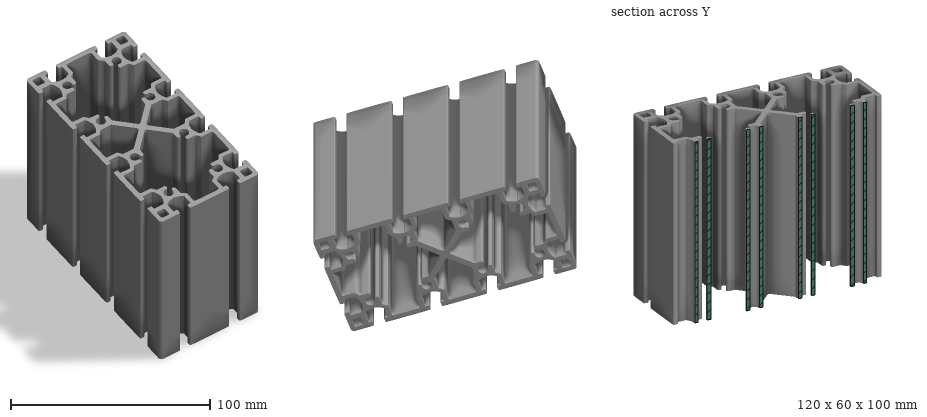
import cadquery as cq
import math

module = 30.0
columns = 4
rows = 2
width = columns * module
depth = rows * module
length = 100.0
corner_radius = 1.8

slot_half_opening = 3.0
lip_depth = 2.8
channel_half_width = 5.2
channel_side_depth = 8.5
channel_depth = 10.5
groove_half_width = 0.5
groove_depth = 0.2
lip_radius = 0.6
lip_recess = 0.07
lip_slope_half_width = 8.2

flange_thickness = 2.8
housing_half_width = 7.5
housing_side_depth = 9.4
housing_depth = 11.3
pocket_radius = 1.0

corner_hole_size = 4.9
corner_hole_inset = 2.3
corner_hole_radius = 0.8

boss_half_width = 4.9
screw_radius = 2.5
tine_reach = 1.5

strut_thickness = 3.0
strut_crossing_radius = 1.2


def prism(points):
    return cq.Workplane("XY").polyline(points).close().extrude(length)


def box(x_min, x_max, y_min, y_max):
    return prism([(x_min, y_min), (x_max, y_min), (x_max, y_max), (x_min, y_max)])


def place_on_face(shape, face_angle, along):
    """Move a shape drawn with the outer face at y = 0 and material below to one side of the profile."""
    face_distance = depth / 2 if face_angle % 180 == 0 else width / 2
    moved = shape.translate((along, face_distance, 0))
    return moved.rotate((0, 0, 0), (0, 0, 1), face_angle)


def make_slot():
    """T-slot with rounded lips whose outer faces lean slightly inwards towards the opening."""
    opening = prism([
        (-lip_slope_half_width, 0),
        (-slot_half_opening, -lip_recess),
        (-slot_half_opening, -channel_side_depth),
        (slot_half_opening, -channel_side_depth),
        (slot_half_opening, -lip_recess),
        (lip_slope_half_width, 0),
    ])
    channel = (
        cq.Workplane("XY")
        .moveTo(-channel_half_width, -lip_depth)
        .lineTo(channel_half_width, -lip_depth)
        .lineTo(channel_half_width, -channel_side_depth)
        .threePointArc((0, -channel_depth), (-channel_half_width, -channel_side_depth))
        .close()
        .extrude(length)
    )
    groove = prism([
        (-groove_half_width, -channel_depth),
        (0, -channel_depth - groove_depth),
        (groove_half_width, -channel_depth),
        (0, -channel_depth + groove_depth),
    ])
    lip_zone = cq.selectors.BoxSelector(
        (-channel_half_width + lip_radius, -lip_depth - lip_radius, 0),
        (channel_half_width - lip_radius, 0, length),
    )
    slot = opening.union(channel).edges("|Z").edges(lip_zone).fillet(lip_radius)
    return slot.union(groove)


def make_pocket():
    """Hollow between two neighbouring slot housings, flaring out towards the middle of the profile."""
    back = module / 2 - housing_half_width
    mouth = module / 2 - boss_half_width
    pocket = prism([
        (-back, -flange_thickness),
        (back, -flange_thickness),
        (back, -housing_side_depth),
        (mouth, -housing_depth),
        (-mouth, -housing_depth),
        (-back, -housing_side_depth),
    ])
    return pocket.faces(">Y").edges("|Z").fillet(pocket_radius)


def make_tine():
    """Finger with a rounded tip, lying along +X beside the screw hole."""
    tine_radius = (boss_half_width - screw_radius) / 2
    return (
        cq.Workplane("XY")
        .moveTo(0, screw_radius)
        .lineTo(tine_reach - tine_radius, screw_radius)
        .threePointArc(
            (tine_reach, screw_radius + tine_radius),
            (tine_reach - tine_radius, boss_half_width),
        )
        .lineTo(0, boss_half_width)
        .close()
        .extrude(length)
    )


def make_boss():
    """Square boss around a screw hole, open between two tines towards +X +Y."""
    half = boss_half_width
    block = prism([(-half, -half), (half, -half), (half, 0), (0, 0), (0, half), (-half, half)])
    tine = make_tine()
    mirrored_tine = tine.mirror("YZ").rotate((0, 0, 0), (0, 0, 1), -90)
    screw_hole = cq.Workplane("XY").circle(screw_radius).extrude(length)
    return block.union(tine).union(mirrored_tine).cut(screw_hole)


def make_struts():
    """X of two bars whose ends stop inside the bosses, short of the screw holes."""
    half_span = module / math.sqrt(2) - boss_half_width
    bar = box(-half_span, half_span, -strut_thickness / 2, strut_thickness / 2)
    struts = bar.union(bar.rotate((0, 0, 0), (0, 0, 1), 90))
    crossing = cq.selectors.BoxSelector(
        (-strut_thickness, -strut_thickness, 0), (strut_thickness, strut_thickness, length)
    )
    struts = struts.edges("|Z").edges(crossing).fillet(strut_crossing_radius)
    return struts.rotate((0, 0, 0), (0, 0, 1), 45)


def module_centres(count):
    return [(index - (count - 1) / 2) * module for index in range(count)]


column_centres = module_centres(columns)
row_centres = module_centres(rows)
face_slots = {0: column_centres, 90: row_centres, 180: column_centres, 270: row_centres}

frame = cq.Workplane("XY").rect(width, depth).extrude(length).edges("|Z").fillet(corner_radius)
core = cq.Workplane("XY").rect(width - 2 * housing_depth, depth - 2 * housing_depth).extrude(length)
frame = frame.cut(core)

pocket = make_pocket()
for face_angle, centres in face_slots.items():
    for centre in centres[:-1]:
        frame = frame.cut(place_on_face(pocket, face_angle, centre + module / 2))

frame = frame.union(make_struts())

boss = make_boss()
for x in column_centres:
    for y in row_centres:
        is_outer_column = abs(x) > module
        opens_to_plus_x = (x < 0) == is_outer_column
        placed_boss = boss
        if not opens_to_plus_x:
            placed_boss = placed_boss.mirror("YZ")
        if y > 0:
            placed_boss = placed_boss.mirror("XZ")
        frame = frame.union(placed_boss.translate((x, y, 0)))

t_slot = make_slot()
for face_angle, centres in face_slots.items():
    for centre in centres:
        frame = frame.cut(place_on_face(t_slot, face_angle, centre))

hole_offset = corner_hole_inset + corner_hole_size / 2
corner_holes = (
    cq.Workplane("XY")
    .rect(width - 2 * hole_offset, depth - 2 * hole_offset, forConstruction=True)
    .vertices()
    .rect(corner_hole_size, corner_hole_size)
    .extrude(length)
    .edges("|Z")
    .fillet(corner_hole_radius)
)

result = frame.cut(corner_holes)